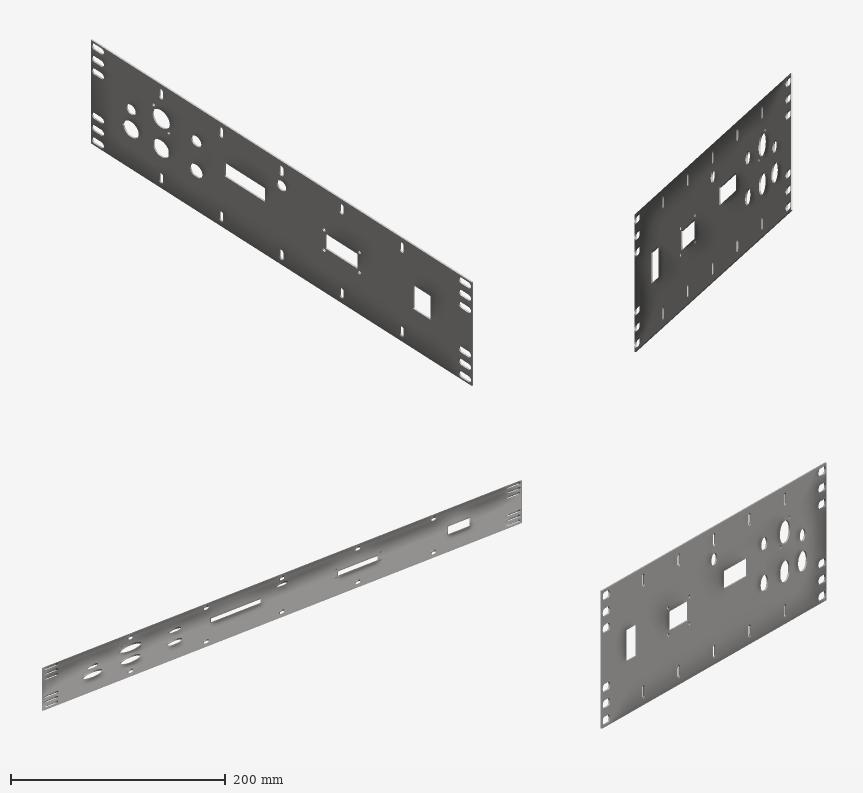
import cadquery as cq

PANEL_LENGTH = 482.6
PANEL_THICKNESS = 1.59
PANEL_HEIGHT = 133.35

RACK_SLOT_SPACING = 464.95
RACK_SLOT_LENGTH = 15.5
RACK_SLOT_WIDTH = 7.65
RACK_EDGE_OFFSET = 6.35
RACK_SLOT_PITCH = 15.875
RACK_SLOTS_PER_UNIT = 3

EDGE_SLOT_COUNT = 5
EDGE_SLOT_PITCH = 76.2
EDGE_SLOT_LENGTH = 12.7
EDGE_SLOT_WIDTH = 5.0
EDGE_SLOT_HEIGHT = 53.975

OUTER_COLUMN = -190.5
SOCKET_COLUMN = -2 * EDGE_SLOT_PITCH
INNER_COLUMN = -107.95
UPPER_ROW = 22.225
MIDDLE_ROW = 9.525
LOWER_ROW = -15.875

PLAIN_HOLE_DIAMETER = 12.0
PLAIN_HOLE_HEIGHT = 34.925
SOCKET_DIAMETER = 22.0

LOWER_SOCKET_DIAMETER = 20.7
LOWER_SOCKET_FLAT_WIDTH = 19.35

UPPER_FLAT_HOLE_DIAMETER = 12.95
UPPER_FLAT_DISTANCE = 5.85
LOWER_FLAT_HOLE_DIAMETER = 15.8
LOWER_FLAT_DISTANCE = 7.25

KEYED_HOLE_DIAMETER = 19.6
KEY_NOTCH_DEPTH = 0.95
KEY_NOTCH_WIDTH = 2.1

SOCKET_SCREW_DIAMETER = 3.4
SOCKET_SCREW_OFFSET_X = 9.5
SOCKET_SCREW_OFFSET_Z = 12.0

DISPLAY_CENTER_X = -46.5
DISPLAY_LENGTH = 50.8
DISPLAY_HEIGHT = 17.5

MODULE_CENTER_X = EDGE_SLOT_PITCH
MODULE_LENGTH = 40.6
MODULE_HEIGHT = 19.0
MODULE_SCREW_DIAMETER = 3.94
MODULE_SCREW_SPACING_X = 44.7
MODULE_SCREW_SPACING_Z = 26.0

SWITCH_CENTER_X = 177.8
SWITCH_LENGTH = 22.0
SWITCH_HEIGHT = 30.5

SIDES = (-1, 1)


def face_sketch(points):
    """Front-plane workplane (X right, Z up) carrying the given points."""
    return cq.Workplane("XZ").pushPoints(points)


def through_cutter(outline):
    """Extrude an outline to both sides, well past both panel faces."""
    return outline.extrude(PANEL_THICKNESS, both=True)


def round_cutter(points, diameter):
    return through_cutter(face_sketch(points).circle(diameter / 2))


def window_cutter(center, length, height):
    return through_cutter(face_sketch([center]).rect(length, height))


def rack_slot_cutter():
    points = []
    for index in range(RACK_SLOTS_PER_UNIT):
        height = PANEL_HEIGHT / 2 - RACK_EDGE_OFFSET - index * RACK_SLOT_PITCH
        points += [(sx * RACK_SLOT_SPACING / 2, sz * height) for sx in SIDES for sz in SIDES]
    return through_cutter(face_sketch(points).slot2D(RACK_SLOT_LENGTH, RACK_SLOT_WIDTH))


def edge_slot_cutter():
    first_x = -EDGE_SLOT_PITCH * (EDGE_SLOT_COUNT - 1) / 2
    columns = [first_x + index * EDGE_SLOT_PITCH for index in range(EDGE_SLOT_COUNT)]
    points = [(x, side * EDGE_SLOT_HEIGHT) for x in columns for side in SIDES]
    return through_cutter(face_sketch(points).slot2D(EDGE_SLOT_LENGTH, EDGE_SLOT_WIDTH, 90))


def double_flat_cutter(center, diameter, flat_width):
    """Round hole narrowed to flat_width by flats on its left and right."""
    return round_cutter([center], diameter).intersect(window_cutter(center, flat_width, diameter))


def bottom_flat_cutter(center, diameter, flat_distance):
    """Round hole cut off by a flat lying flat_distance below its center."""
    x, z = center
    kept_height = diameter / 2 + flat_distance
    kept_center = (x, z - flat_distance + kept_height / 2)
    return round_cutter([center], diameter).intersect(window_cutter(kept_center, diameter, kept_height))


def keyed_cutter(center, diameter, notch_depth, notch_width):
    """Round hole with a rectangular notch reaching past its left side."""
    x, z = center
    notch_length = diameter / 2 + notch_depth
    notch = window_cutter((x - notch_length / 2, z), notch_length, notch_width)
    return round_cutter([center], diameter).union(notch)


def connector_cutters():
    plain_points = [(OUTER_COLUMN, MIDDLE_ROW), (0, PLAIN_HOLE_HEIGHT)]
    screw_points = [
        (SOCKET_COLUMN + side * SOCKET_SCREW_OFFSET_X, UPPER_ROW - side * SOCKET_SCREW_OFFSET_Z)
        for side in SIDES
    ]
    return [
        round_cutter(plain_points, PLAIN_HOLE_DIAMETER),
        round_cutter([(SOCKET_COLUMN, UPPER_ROW)], SOCKET_DIAMETER),
        round_cutter(screw_points, SOCKET_SCREW_DIAMETER),
        double_flat_cutter((SOCKET_COLUMN, LOWER_ROW), LOWER_SOCKET_DIAMETER, LOWER_SOCKET_FLAT_WIDTH),
        bottom_flat_cutter((INNER_COLUMN, UPPER_ROW), UPPER_FLAT_HOLE_DIAMETER, UPPER_FLAT_DISTANCE),
        bottom_flat_cutter((INNER_COLUMN, LOWER_ROW), LOWER_FLAT_HOLE_DIAMETER, LOWER_FLAT_DISTANCE),
        keyed_cutter((OUTER_COLUMN, LOWER_ROW), KEYED_HOLE_DIAMETER, KEY_NOTCH_DEPTH, KEY_NOTCH_WIDTH),
    ]


def module_cutters():
    screw_points = [
        (MODULE_CENTER_X + sx * MODULE_SCREW_SPACING_X / 2, sz * MODULE_SCREW_SPACING_Z / 2)
        for sx in SIDES
        for sz in SIDES
    ]
    return [
        window_cutter((MODULE_CENTER_X, 0), MODULE_LENGTH, MODULE_HEIGHT),
        round_cutter(screw_points, MODULE_SCREW_DIAMETER),
    ]


def build_panel():
    panel = cq.Workplane("XY").box(PANEL_LENGTH, PANEL_THICKNESS, PANEL_HEIGHT)
    cutters = [
        rack_slot_cutter(),
        edge_slot_cutter(),
        window_cutter((DISPLAY_CENTER_X, MIDDLE_ROW), DISPLAY_LENGTH, DISPLAY_HEIGHT),
        window_cutter((SWITCH_CENTER_X, 0), SWITCH_LENGTH, SWITCH_HEIGHT),
    ]
    for cutter in cutters + connector_cutters() + module_cutters():
        panel = panel.cut(cutter)
    return panel


result = build_panel()